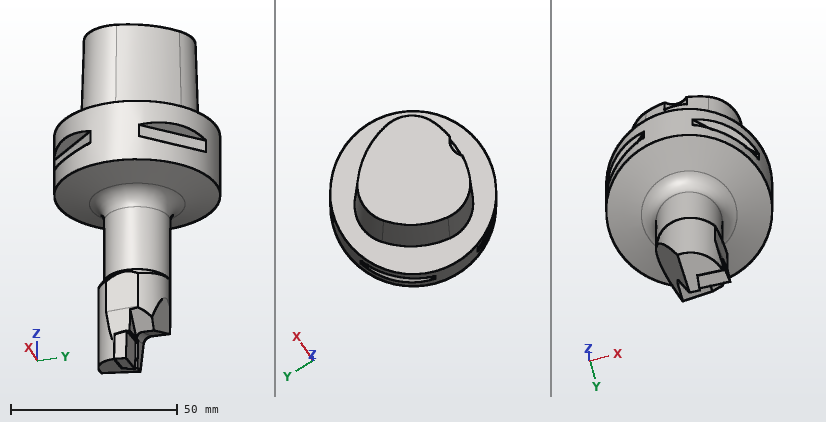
import cadquery as cq
import math

TAPER_HEIGHT = 30.0
FLANGE_HEIGHT = 19.6
TIP_Z = TAPER_HEIGHT - 110.0
FLANGE_RADIUS = 50.0 / 2
SHANK_RADIUS = 20.0 / 2

LOBE_RADIUS = 18.8
FLANK_RADIUS = 16.5
SEAM_RADIUS = 17.8
LOBE_HALF_ANGLE = 25
TAPER_TOP_RATIO = 0.95
KEY_RADIUS = 5.0
KEY_CENTRE_Y = -19.0
KEY_HEIGHT = 5.5

SLOT_COUNT = 4
SLOT_FLOOR_DISTANCE = 22.2
SLOT_Z = -9.9
SLOT_FLOOR_HEIGHT = 3.7
SLOT_MOUTH_HEIGHT = 6.9

CONE_ANGLE = 15
NECK_FILLET = 5.9

HEAD_RADIUS = 10.72
HEAD_X = 1.1
HEAD_Y = SHANK_RADIUS - HEAD_RADIUS
HEAD_TOP_Z = -49.1
SHOULDER_SLOPE = 1.4
SIDE_RELIEF = 6
SIDE_X = 10.9
SIDE_Y = 2.8
FLARE_Z = -62.2
FLARE_ANGLE = 5.5

BACK_ANGLE = 17.4
BACK_START_Z = -47.2
END_Z = -78.5
END_SLOPE_X = -0.08
END_SLOPE_Y = -0.11
GULLY_START_Z = -57.8
GULLY_SLOPE_X = 0.14
GULLY_SLOPE_Z = 0.23
STEP_Y = 1.0
STEP_BACK_X = -4.5
STEP_BACK_Z = -65.1
STEP_FILLET = 4.4 / 2
RUNOUT_X = 5.4

INSERT_TIP_X = 12.8
INSERT_TOP_Y = 0.2
INSERT_EDGE = 9.7
INSERT_THICKNESS = 4.0
INSERT_CORNER_ANGLE = 80
INSERT_SIDE_DIRECTION = 95
INSERT_CLEARANCE = 7

TRIM_TOP_Z = -33.0
CUT = 66.0


def polar(radius, degrees):
    angle = math.radians(degrees)
    return (radius * math.cos(angle), radius * math.sin(angle))


def outside_of(point, normal):
    """Block filling the side of a plane towards which its normal points."""
    return cq.Workplane(cq.Plane(origin=point, normal=normal)).rect(2 * CUT, 2 * CUT).extrude(CUT)


def lobed_wire(z, ratio):
    """Six tangent arcs: three tight lobes and three shallow flanks."""
    wire = cq.Workplane("XY", origin=(0, 0, z)).moveTo(*polar(ratio * SEAM_RADIUS, 90 - LOBE_HALF_ANGLE))
    for lobe_angle in (90, 210, 330):
        wire = wire.threePointArc(
            polar(ratio * LOBE_RADIUS, lobe_angle),
            polar(ratio * SEAM_RADIUS, lobe_angle + LOBE_HALF_ANGLE),
        )
        wire = wire.threePointArc(
            polar(ratio * FLANK_RADIUS, lobe_angle + 60),
            polar(ratio * SEAM_RADIUS, lobe_angle + 120 - LOBE_HALF_ANGLE),
        )
    return wire.close().val()


def make_taper():
    wires = [cq.Wire.assembleEdges(lobed_wire(z, ratio).Edges())
             for z, ratio in ((0, 1), (TAPER_HEIGHT, TAPER_TOP_RATIO))]
    taper = cq.Workplane(cq.Solid.makeLoft(wires, True))
    key = (cq.Workplane("XY", origin=(0, KEY_CENTRE_Y, TAPER_HEIGHT - KEY_HEIGHT))
           .circle(KEY_RADIUS).extrude(KEY_HEIGHT))
    return taper.cut(key)


def make_flange_and_shank():
    slope = math.radians(CONE_ANGLE)
    corner_z = -FLANGE_HEIGHT - (FLANGE_RADIUS - SHANK_RADIUS) * math.tan(slope)
    tangent = NECK_FILLET * math.tan(math.radians(90 - CONE_ANGLE) / 2)
    arc_start = (SHANK_RADIUS + tangent * math.cos(slope), corner_z + tangent * math.sin(slope))
    arc_end = (SHANK_RADIUS, corner_z - tangent)
    middle_angle = (90 + CONE_ANGLE + 180) / 2
    offset = polar(NECK_FILLET, middle_angle)
    arc_middle = (SHANK_RADIUS + NECK_FILLET + offset[0], arc_end[1] + offset[1])
    return (cq.Workplane("XZ").lineTo(FLANGE_RADIUS, 0).lineTo(FLANGE_RADIUS, -FLANGE_HEIGHT)
            .lineTo(*arc_start).threePointArc(arc_middle, arc_end)
            .lineTo(SHANK_RADIUS, TIP_Z).lineTo(0, TIP_Z).close()
            .revolve(360, (0, 0), (0, 1)))


def cut_gripper_slots(body):
    depth = FLANGE_RADIUS - SLOT_FLOOR_DISTANCE
    slot = (cq.Workplane("XZ", origin=(0, CUT / 2, SLOT_Z))
            .polyline([(SLOT_FLOOR_DISTANCE, -SLOT_FLOOR_HEIGHT / 2),
                       (SLOT_FLOOR_DISTANCE + depth, -SLOT_MOUTH_HEIGHT / 2),
                       (SLOT_FLOOR_DISTANCE + depth, SLOT_MOUTH_HEIGHT / 2),
                       (SLOT_FLOOR_DISTANCE, SLOT_FLOOR_HEIGHT / 2)])
            .close().extrude(CUT))
    for i in range(SLOT_COUNT):
        angle = 45 + i * 360 / SLOT_COUNT
        body = body.cut(slot.rotate((0, 0, 0), (0, 0, 1), angle))
    return body


def make_head():
    """Offset cylinder whose shoulder is a cone about the shank axis."""
    height = HEAD_TOP_Z - TIP_Z
    cylinder = (cq.Workplane("XY", origin=(HEAD_X, HEAD_Y, TIP_Z))
                .circle(HEAD_RADIUS).extrude(height))
    cone = cq.Workplane(cq.Solid.makeCone(
        SHANK_RADIUS + height / SHOULDER_SLOPE, SHANK_RADIUS, height, pnt=cq.Vector(0, 0, TIP_Z)))
    head = cylinder.intersect(cone)
    relief = math.tan(math.radians(SIDE_RELIEF))
    flare = math.tan(math.radians(FLARE_ANGLE))
    side = outside_of((SIDE_X, SIDE_Y, FLARE_Z), (1, -relief, 0))
    flared_side = outside_of((SIDE_X, SIDE_Y, FLARE_Z), (1, -relief, flare))
    return head.cut(side.intersect(flared_side))


def trim_zone():
    return outside_of((0, 0, TRIM_TOP_Z), (0, 0, -1))


def cut_chip_step(body):
    """Step cut square to the back face, with a rounded inner corner."""
    slope = math.radians(BACK_ANGLE)
    plane = cq.Plane(origin=(STEP_BACK_X, STEP_Y, STEP_BACK_Z), xDir=(0, 1, 0),
                     normal=(math.cos(slope), 0, -math.sin(slope)))
    rounding = STEP_FILLET * (1 - math.sqrt(0.5))
    step = (cq.Workplane(plane).moveTo(STEP_FILLET, 0).lineTo(CUT, 0).lineTo(CUT, -CUT)
            .lineTo(0, -CUT).lineTo(0, -STEP_FILLET)
            .threePointArc((rounding, -rounding), (STEP_FILLET, 0))
            .close().extrude(CUT, both=True))
    runout_z = STEP_BACK_Z - (RUNOUT_X - STEP_BACK_X) * math.tan(slope)
    runout = (outside_of((RUNOUT_X, 0, runout_z), (1, 0, -1))
              .intersect(outside_of((0, STEP_Y, runout_z), (0, 1, 0))))
    return body.cut(step).cut(runout.intersect(trim_zone()))


def trim_head(body):
    slope = math.radians(BACK_ANGLE)
    back = outside_of((-SHANK_RADIUS, 0, BACK_START_Z), (-math.cos(slope), 0, -math.sin(slope)))
    end = outside_of((0, 0, END_Z), (END_SLOPE_X, END_SLOPE_Y, -1))
    gully = outside_of((0, SHANK_RADIUS, GULLY_START_Z), (GULLY_SLOPE_X, 1, -GULLY_SLOPE_Z))
    for waste in (back, end, gully):
        body = body.cut(waste.intersect(trim_zone()))
    return cut_chip_step(body)


def insert_outline(y):
    side = polar(INSERT_EDGE, INSERT_SIDE_DIRECTION)
    bottom = polar(INSERT_EDGE, INSERT_SIDE_DIRECTION + INSERT_CORNER_ANGLE)
    return (cq.Workplane("XZ", origin=(INSERT_TIP_X, y, TIP_Z))
            .polyline([(0, 0), side, (side[0] + bottom[0], side[1] + bottom[1]), bottom]).close())


def make_insert():
    """Rhombic plate, narrowing towards -Y."""
    return insert_outline(INSERT_TOP_Y).extrude(INSERT_THICKNESS, taper=INSERT_CLEARANCE)


def make_holder(insert):
    body = make_flange_and_shank().union(make_head())
    body = cut_gripper_slots(trim_head(body))
    above_insert = insert_outline(INSERT_TOP_Y).extrude(-CUT)
    return body.union(make_taper()).cut(insert).cut(above_insert)


insert = make_insert()
holder = make_holder(insert)

result = cq.Compound.makeCompound([holder.val(), insert.val()])